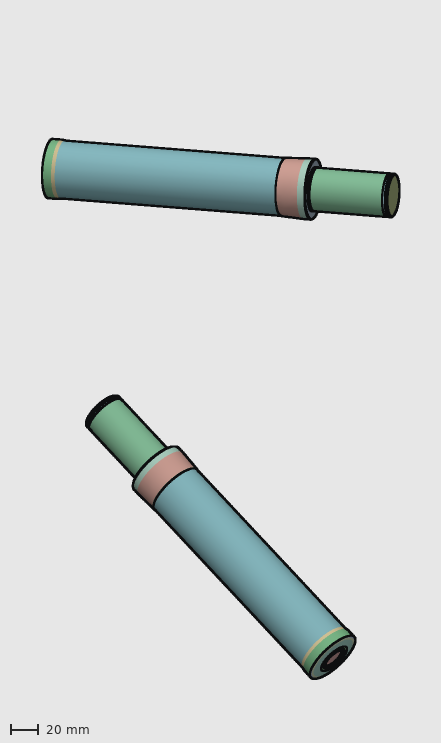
import cadquery as cq

total_length = 259.0
rear_end = -total_length / 2
front_end = total_length / 2

tube_radius = 21.0
cap_radius = 21.5
cap_band_end = rear_end + 8.5
cap_taper_end = rear_end + 11.1

face_inner_x = rear_end + 0.3
face_rim_x = rear_end + 0.8
face_rim_radius = 18.5
rim_slope_radius = 20.0
rim_slope_x = rear_end + 1.0
rim_end_x = rear_end + 1.5

ring_base_radius = 13.0
ring_top_radius = 12.2
recess_radius = 9.8
recess_depth = 0.3
pocket_mouth_radius = 8.0
pocket_floor_radius = 7.3
pocket_depth = 0.8

collar_start = rear_end + 176.6
collar_step_width = 0.8
collar_start_radius = 21.2
collar_radius = 22.0
collar_rim_start = rear_end + 193.2
collar_end = rear_end + 199.2
collar_bevel = 0.5

lip_radius = 16.0
lip_end = collar_end + 1.5

rod_radius = 15.8
groove_radius = 15.5
groove_start = front_end - 4.0
groove_width = 2.0
rod_chamfer = 0.8
rod_inner_end = collar_start


def revolve_about_axis(outline):
    """Turn a closed half section in the XY plane about the X axis."""
    return outline.close().revolve(360, (0, 0, 0), (1, 0, 0))


def make_cylinder():
    """Tube with its rear cap and collar, bored to hold the rod."""
    outline = (
        cq.Workplane("XY")
        .moveTo(rear_end + pocket_depth, 0)
        .lineTo(rear_end + pocket_depth, pocket_floor_radius)
        .lineTo(rear_end + recess_depth, pocket_mouth_radius)
        .lineTo(rear_end + recess_depth, recess_radius)
        .lineTo(rear_end, recess_radius)
        .lineTo(rear_end, ring_top_radius)
        .lineTo(face_inner_x, ring_base_radius)
        .lineTo(face_rim_x, face_rim_radius)
        .lineTo(rim_slope_x, rim_slope_radius)
        .lineTo(rim_end_x, cap_radius)
        .lineTo(cap_band_end, cap_radius)
        .lineTo(cap_taper_end, tube_radius)
        .lineTo(collar_start, tube_radius)
        .lineTo(collar_start + collar_step_width, collar_start_radius)
        .lineTo(collar_rim_start, collar_radius)
        .lineTo(collar_end - collar_bevel, collar_radius)
        .lineTo(collar_end, collar_radius - collar_bevel)
        .lineTo(collar_end, lip_radius)
        .lineTo(lip_end, lip_radius)
        .lineTo(lip_end, rod_radius)
        .lineTo(rod_inner_end, rod_radius)
        .lineTo(rod_inner_end, 0)
    )
    return revolve_about_axis(outline)


def make_rod():
    """Rod with a shallow groove and a chamfer at its tip."""
    outline = (
        cq.Workplane("XY")
        .moveTo(rod_inner_end, 0)
        .lineTo(rod_inner_end, rod_radius)
        .lineTo(groove_start, rod_radius)
        .lineTo(groove_start, groove_radius)
        .lineTo(groove_start + groove_width, groove_radius)
        .lineTo(groove_start + groove_width, rod_radius)
        .lineTo(front_end - rod_chamfer, rod_radius)
        .lineTo(front_end, rod_radius - rod_chamfer)
        .lineTo(front_end, 0)
    )
    return revolve_about_axis(outline)


cylinder = make_cylinder()
rod = make_rod()
result = cq.Compound.makeCompound([cylinder.val(), rod.val()])